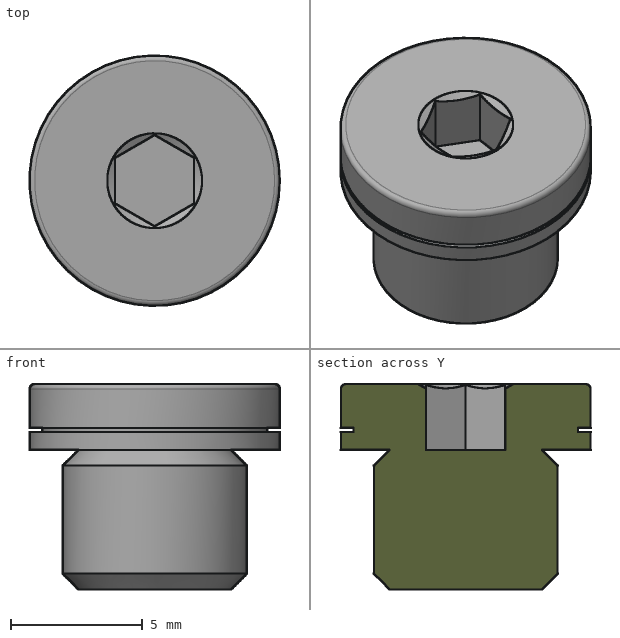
import cadquery as cq
import math

total_length = 7.8

head_diameter = 9.5
head_height = 2.5
head_edge_fillet = 0.2
flange_thickness = 0.68
groove_width = 0.15
groove_diameter = 8.55

shank_diameter = 7.0
shank_chamfer = 0.6

hex_across_flats = 3.0
hex_depth = 2.5
lead_in_diameter = 3.6
lead_in_half_angle = 60.0

head_top = head_height
shank_bottom = head_height - total_length
groove_bottom = flange_thickness
groove_top = groove_bottom + groove_width


def make_body():
    """Head, groove and shank as one revolved profile."""
    head_radius = head_diameter / 2
    groove_radius = groove_diameter / 2
    shank_radius = shank_diameter / 2
    shank_end_radius = shank_radius - shank_chamfer
    profile = (
        cq.Workplane("XZ")
        .moveTo(0, shank_bottom)
        .lineTo(shank_end_radius, shank_bottom)
        .lineTo(shank_radius, shank_bottom + shank_chamfer)
        .lineTo(shank_radius, -shank_chamfer)
        .lineTo(shank_end_radius, 0)
        .lineTo(head_radius, 0)
        .lineTo(head_radius, groove_bottom)
        .lineTo(groove_radius, groove_bottom)
        .lineTo(groove_radius, groove_top)
        .lineTo(head_radius, groove_top)
        .lineTo(head_radius, head_top)
        .lineTo(0, head_top)
        .close()
    )
    body = profile.revolve(360, (0, 0, 0), (0, 1, 0))
    return body.faces(">Z").edges().fillet(head_edge_fillet)


def make_hex_socket():
    """Hexagonal prism with corners on the Y axis and flats facing +X and -X."""
    hex_across_corners = hex_across_flats / math.cos(math.radians(30))
    return (
        cq.Workplane("XY", origin=(0, 0, head_top))
        .transformed(rotate=(0, 0, 90))
        .polygon(6, hex_across_corners)
        .extrude(-hex_depth)
    )


def make_lead_in():
    """Cone that opens the mouth of the socket."""
    lead_in_radius = lead_in_diameter / 2
    cone_depth = lead_in_radius / math.tan(math.radians(lead_in_half_angle))
    return (
        cq.Workplane("XZ")
        .moveTo(0, head_top)
        .lineTo(lead_in_radius, head_top)
        .lineTo(0, head_top - cone_depth)
        .close()
        .revolve(360, (0, 0, 0), (0, 1, 0))
    )


result = make_body().cut(make_hex_socket()).cut(make_lead_in())